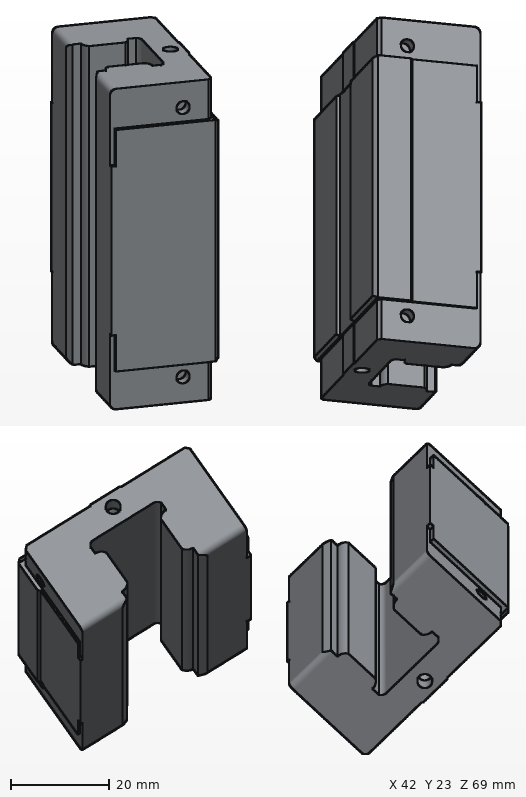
import cadquery as cq
import math

LENGTH = 69.0
BLOCK_LENGTH = 51.95
BLOCK_WIDTH = 42.0
BLOCK_HALF_WIDTH = BLOCK_WIDTH / 2
CAP_HALF_WIDTH = 20.0
HEIGHT = 23.0
TOP_Y = HEIGHT / 2
BOTTOM_Y = -TOP_Y

LAND_HEIGHT = 0.8
LAND_GAP_HALF_WIDTH = 4.9
LAND_EDGE_CHAMFER = 0.8
LAND_END_CHAMFER = 0.5
BLOCK_BASE_Y = TOP_Y - LAND_HEIGHT

SIDE_RELIEF = 0.5
SIDE_RELIEF_Y = 3.65

NOTCH_LENGTH = 7.8
NOTCH_HEIGHT = 1.0

CAP_TOP_Y = 10.5
WING_DROP = 0.2
RIDGE_HALF_WIDTH = 3.6
CAP_TOP_CHAMFER = 0.75
CAP_BOTTOM_FILLET = 1.4

THROAT_HALF_WIDTH = 8.6
LIP_HALF_WIDTH = 6.6
MOUTH_HALF_WIDTH = 10.35
ROOF_Y = 3.7
ROOF_HALF_WIDTH = 7.3
ROOF_CORNER_DROP = 0.8
LIP_MIDDLE_Y = -3.85
LIP_HALF_HEIGHT = 5.0
LIP_CURVE_DROP = 1.1
MOUTH_CHAMFER_HEIGHT = 0.8

END_HOLE_DIAMETER = 3.05
END_HOLE_Y = 7.5
END_HOLE_DEPTH = 4.8
DRILL_POINT_DEPTH = END_HOLE_DIAMETER / 2
SIDE_HOLE_DIAMETER = 2.75
SIDE_HOLE_Y = 4.1
SIDE_HOLE_Z = 29.0
SIDE_HOLE_DEPTH = 2.75


def box(x_min, x_max, y_min, y_max, z_min, z_max):
    size = (x_max - x_min, y_max - y_min, z_max - z_min)
    return cq.Workplane("XY").box(*size, centered=False).translate((x_min, y_min, z_min))


def extrude_along_z(outline, length):
    """Extrude an XY outline symmetrically about the middle of the carriage."""
    return outline.extrude(length / 2, both=True)


def make_block():
    relieved_x = -BLOCK_HALF_WIDTH + SIDE_RELIEF
    outline = cq.Workplane("XY").polyline([
        (relieved_x, BOTTOM_Y),
        (BLOCK_HALF_WIDTH, BOTTOM_Y),
        (BLOCK_HALF_WIDTH, BLOCK_BASE_Y),
        (-BLOCK_HALF_WIDTH, BLOCK_BASE_Y),
        (-BLOCK_HALF_WIDTH, SIDE_RELIEF_Y),
        (relieved_x, SIDE_RELIEF_Y - SIDE_RELIEF),
    ]).close()
    block = extrude_along_z(outline, BLOCK_LENGTH)

    land_outline = cq.Workplane("XY").polyline([
        (LAND_GAP_HALF_WIDTH, BLOCK_BASE_Y),
        (BLOCK_HALF_WIDTH, BLOCK_BASE_Y),
        (BLOCK_HALF_WIDTH - LAND_EDGE_CHAMFER, TOP_Y),
        (LAND_GAP_HALF_WIDTH, TOP_Y),
    ]).close()
    half_length = BLOCK_LENGTH / 2
    end_profile = cq.Workplane("YZ").polyline([
        (BLOCK_BASE_Y, -half_length),
        (TOP_Y, -half_length + LAND_END_CHAMFER),
        (TOP_Y, half_length - LAND_END_CHAMFER),
        (BLOCK_BASE_Y, half_length),
    ]).close().extrude(BLOCK_HALF_WIDTH)
    land = extrude_along_z(land_outline, BLOCK_LENGTH).intersect(end_profile)
    block = block.union(land).union(land.mirror("YZ"))

    notch = box(CAP_HALF_WIDTH, BLOCK_HALF_WIDTH, BOTTOM_Y, BOTTOM_Y + NOTCH_HEIGHT,
                half_length - NOTCH_LENGTH, half_length)
    for cutter in (notch, notch.mirror("XY")):
        block = block.cut(cutter).cut(cutter.mirror("YZ"))
    return block


def make_cap_core():
    """Full-length core whose two ends form the end caps."""
    wing_y = CAP_TOP_Y - WING_DROP
    right_side = [
        (CAP_HALF_WIDTH, BOTTOM_Y),
        (CAP_HALF_WIDTH, wing_y - CAP_TOP_CHAMFER),
        (CAP_HALF_WIDTH - CAP_TOP_CHAMFER, wing_y),
        (RIDGE_HALF_WIDTH + WING_DROP, wing_y),
        (RIDGE_HALF_WIDTH, CAP_TOP_Y),
    ]
    left_side = [(-x, y) for x, y in reversed(right_side)]
    outline = cq.Workplane("XY").polyline(right_side + left_side).close()
    core = extrude_along_z(outline, LENGTH)
    return core.faces("<Y").edges("|X").fillet(CAP_BOTTOM_FILLET)


def lip_curve_middle(root_y, end_y):
    """Middle point of a lip arc that starts at right angles to the throat wall."""
    run = THROAT_HALF_WIDTH - LIP_HALF_WIDTH
    drop = end_y - root_y
    radius = (run**2 + drop**2) / (2 * abs(drop))
    half_angle = math.atan2(abs(drop), run)
    x = THROAT_HALF_WIDTH - radius * math.sin(half_angle)
    y = root_y + math.copysign(radius * (1 - math.cos(half_angle)), drop)
    return x, y


def make_rail_channel():
    upper_root = LIP_MIDDLE_Y + LIP_HALF_HEIGHT
    lower_root = LIP_MIDDLE_Y - LIP_HALF_HEIGHT
    upper_end = upper_root - LIP_CURVE_DROP
    lower_end = lower_root + LIP_CURVE_DROP
    half_outline = (
        cq.Workplane("XY")
        .moveTo(0, ROOF_Y)
        .lineTo(ROOF_HALF_WIDTH, ROOF_Y)
        .tangentArcPoint((THROAT_HALF_WIDTH, ROOF_Y - ROOF_CORNER_DROP), relative=False)
        .lineTo(THROAT_HALF_WIDTH, upper_root)
        .threePointArc(lip_curve_middle(upper_root, upper_end), (LIP_HALF_WIDTH, upper_end))
        .lineTo(LIP_HALF_WIDTH, lower_end)
        .threePointArc(lip_curve_middle(lower_root, lower_end), (THROAT_HALF_WIDTH, lower_root))
        .lineTo(THROAT_HALF_WIDTH, BOTTOM_Y + MOUTH_CHAMFER_HEIGHT)
        .lineTo(MOUTH_HALF_WIDTH, BOTTOM_Y)
        .lineTo(0, BOTTOM_Y)
        .close()
    )
    half = extrude_along_z(half_outline, LENGTH)
    return half.union(half.mirror("YZ"))


def make_end_hole():
    """Drilled hole with a conical bottom, in the +Z cap."""
    radius = END_HOLE_DIAMETER / 2
    bottom_z = LENGTH / 2 - END_HOLE_DEPTH
    profile = cq.Workplane("XZ").polyline([
        (0, LENGTH / 2),
        (radius, LENGTH / 2),
        (radius, bottom_z),
        (0, bottom_z - DRILL_POINT_DEPTH),
    ]).close()
    return profile.revolve(360, (0, 0), (0, 1)).translate((0, END_HOLE_Y, 0))


def make_side_hole():
    """Blind hole in the +X side of the +Z cap."""
    plane = cq.Workplane("YZ", origin=(CAP_HALF_WIDTH, SIDE_HOLE_Y, SIDE_HOLE_Z))
    return plane.circle(SIDE_HOLE_DIAMETER / 2).extrude(-SIDE_HOLE_DEPTH)


carriage = make_cap_core().union(make_block()).cut(make_rail_channel())
side_hole = make_side_hole()
for hole in (make_end_hole(), side_hole, side_hole.mirror("YZ")):
    carriage = carriage.cut(hole).cut(hole.mirror("XY"))
result = carriage